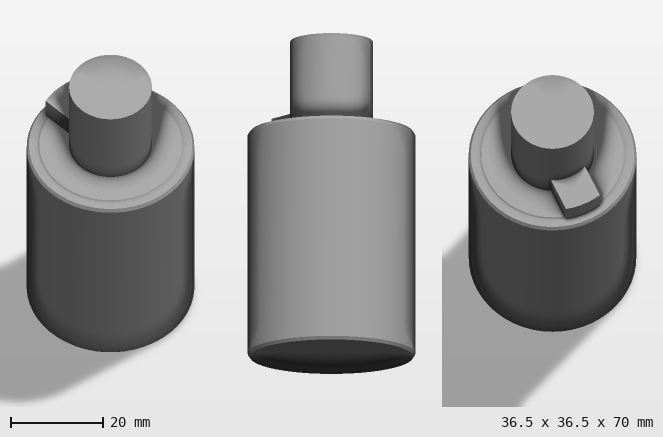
import cadquery as cq

total_height = 70.0
housing_diameter = 36.5
shaft_diameter = 18.0

cap_top = 50.0
cap_rise = 0.2
housing_height = cap_top - cap_rise

bevel_width = 0.5
bevel_height = 0.7

cap_diameter = 31.5
cap_thickness = 3.5
cap_bevel_width = 0.3

lug_reach = 16.3
lug_width = 8.1
lug_height = 5.05


def make_housing():
    """Bevelled cylinder with a recess in its top face for the cap."""
    radius = housing_diameter / 2
    profile = [
        (0, 0),
        (radius - bevel_width, 0),
        (radius, bevel_height),
        (radius, housing_height - bevel_height),
        (radius - bevel_width, housing_height),
        (0, housing_height),
    ]
    body = cq.Workplane("XZ").polyline(profile).close().revolve(360, (0, 0), (0, 1))
    recess = (
        cq.Workplane("XY", origin=(0, 0, cap_top - cap_thickness))
        .circle(cap_diameter / 2)
        .extrude(cap_thickness)
    )
    return body.cut(recess)


def make_cap():
    """Disc that stands slightly proud of the housing, its exposed edge bevelled."""
    radius = cap_diameter / 2
    profile = [
        (0, cap_top - cap_thickness),
        (radius, cap_top - cap_thickness),
        (radius, housing_height),
        (radius - cap_bevel_width, cap_top),
        (0, cap_top),
    ]
    return cq.Workplane("XZ").polyline(profile).close().revolve(360, (0, 0), (0, 1))


def make_shaft():
    """Round shaft standing on the cap, with a stop lug pointing toward -X."""
    base = cq.Workplane("XY", origin=(0, 0, cap_top))
    shaft = base.circle(shaft_diameter / 2).extrude(total_height - cap_top)
    bar = base.center(-lug_reach / 2, 0).rect(lug_reach, lug_width).extrude(lug_height)
    rounded_end = base.circle(lug_reach).extrude(lug_height)
    return shaft.union(bar.intersect(rounded_end))


housing = make_housing()
cap = make_cap()
shaft = make_shaft()

result = cq.Compound.makeCompound([housing.val(), cap.val(), shaft.val()])